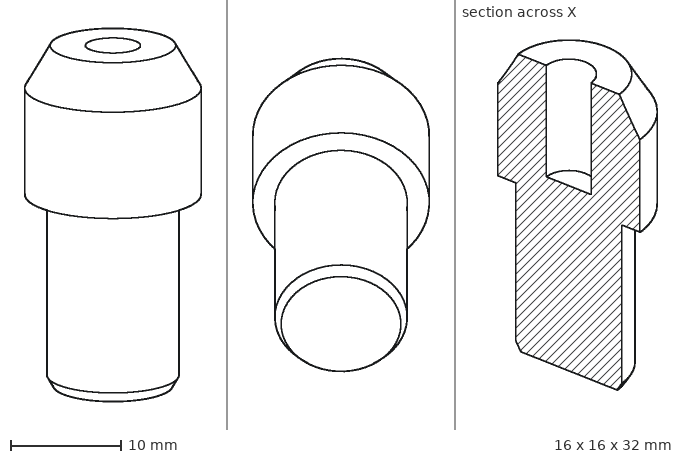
import cadquery as cq
import math

total_length = 32.0
head_diameter = 16.0
head_length = 14.0
shank_diameter = 12.0

taper_angle = math.radians(30)
head_taper_length = 4.0
shank_taper_length = 1.0

hole_diameter = 5.0
hole_depth = 12.0

head_radius = head_diameter / 2
shank_radius = shank_diameter / 2
shoulder_z = total_length - head_length
top_radius = head_radius - head_taper_length * math.tan(taper_angle)
bottom_radius = shank_radius - shank_taper_length * math.tan(taper_angle)


def pin_body():
    """Revolve the half profile of shank, shoulder and tapered head about Z."""
    return (
        cq.Workplane("XZ")
        .lineTo(bottom_radius, 0)
        .lineTo(shank_radius, shank_taper_length)
        .lineTo(shank_radius, shoulder_z)
        .lineTo(head_radius, shoulder_z)
        .lineTo(head_radius, total_length - head_taper_length)
        .lineTo(top_radius, total_length)
        .lineTo(0, total_length)
        .close()
        .revolve(360, (0, 0), (0, 1))
    )


result = pin_body().faces(">Z").workplane().hole(hole_diameter, hole_depth)